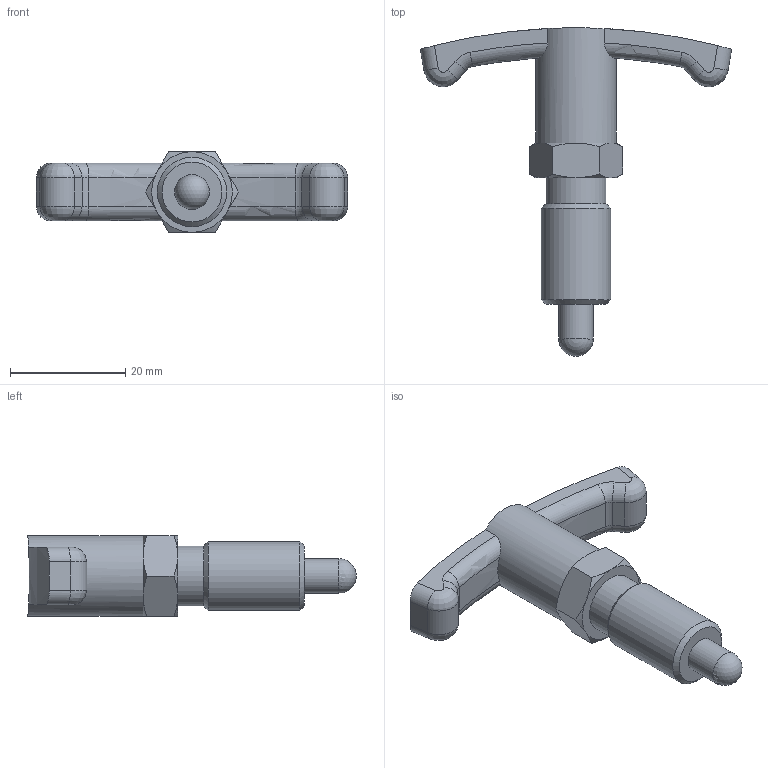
import cadquery as cq
import math


total_length = 57.0
sleeve_length = 20.0
hex_length = 6.0
neck_length = 4.5
barrel_length = 17.5

handle_span = 54.0
handle_width = 10.0
arm_thickness = 5.0
crown_radius = 100.0
edge_radius = 2.5
sleeve_diameter = 14.0
end_tilt = 9.5
end_length = 3.7
tip_radius = 3.4
flank_angle = 50.0
inner_corner_radius = 2.0

hex_sides = 6
hex_across_flats = 14.0
hex_bevel_angle = 30.0
barrel_diameter = 12.0
barrel_chamfer = 0.8
neck_diameter = barrel_diameter - 2 * barrel_chamfer
pin_diameter = 6.0

hex_back = -sleeve_length
hex_front = hex_back - hex_length
barrel_back = hex_front - neck_length
barrel_front = barrel_back - barrel_length
pin_end = -total_length


def rod(diameter, y_back, y_front):
    """Cylinder on the Y axis from y_back toward -Y, ending at y_front."""
    return (
        cq.Workplane("XZ", origin=(0, y_back, 0))
        .circle(diameter / 2)
        .extrude(y_back - y_front)
    )


def grip_profile():
    """Outline in XY of the bowed grip with a lobe at each end, and its right inner corner."""
    half_span = handle_span / 2
    tilt = math.radians(end_tilt)
    flank = math.radians(flank_angle)
    belly_radius = crown_radius - arm_thickness

    corner = (half_span, math.sqrt(crown_radius**2 - half_span**2) - crown_radius)
    end_stop = (
        corner[0] - end_length * math.sin(tilt),
        corner[1] - end_length * math.cos(tilt),
    )
    lobe_x = end_stop[0] - tip_radius * math.cos(tilt)
    lobe_y = end_stop[1] + tip_radius * math.sin(tilt)
    lobe_bottom = (lobe_x, lobe_y - tip_radius)
    flank_start = (
        lobe_x - tip_radius * math.sin(flank),
        lobe_y - tip_radius * math.cos(flank),
    )

    run_x = -math.cos(flank)
    run_y = math.sin(flank)
    height = flank_start[1] + crown_radius
    along = flank_start[0] * run_x + height * run_y
    excess = flank_start[0] ** 2 + height**2 - belly_radius**2
    flank_length = -along + math.sqrt(along**2 - excess)
    flank_stop = (
        flank_start[0] + flank_length * run_x,
        flank_start[1] + flank_length * run_y,
    )

    def mirrored(point):
        return (-point[0], point[1])

    outline = (
        cq.Workplane("XY", origin=(0, 0, -handle_width / 2))
        .moveTo(*mirrored(corner))
        .threePointArc((0, 0), corner)
        .lineTo(*end_stop)
        .threePointArc(lobe_bottom, flank_start)
        .lineTo(*flank_stop)
        .threePointArc((0, -arm_thickness), mirrored(flank_stop))
        .lineTo(*mirrored(flank_start))
        .threePointArc(mirrored(lobe_bottom), mirrored(end_stop))
        .close()
    )
    return outline, flank_stop


def make_handle():
    """T-handle: rounded grip fused to the sleeve, the sleeve end following the crown."""
    outline, inner_corner = grip_profile()
    grip = outline.extrude(handle_width)
    for side in (-1, 1):
        nearest = cq.selectors.NearestToPointSelector((side * inner_corner[0], inner_corner[1], 0))
        grip = grip.edges("|Z").edges(nearest).fillet(inner_corner_radius)

    grip = grip.faces("<Z or >Z").edges("not >Y").fillet(edge_radius)

    crown = (
        cq.Workplane("XY", origin=(0, -crown_radius, 0))
        .circle(crown_radius)
        .extrude(sleeve_diameter / 2, both=True)
    )
    sleeve = rod(sleeve_diameter, 0, hex_back).intersect(crown)
    return sleeve.union(grip)


def make_hex():
    """Hexagon with flats facing +Z and -Z, corners bevelled at both ends."""
    corner_diameter = hex_across_flats / math.cos(math.pi / hex_sides)
    bevel_width = (corner_diameter - hex_across_flats) / 2
    bevel_depth = bevel_width * math.tan(math.radians(hex_bevel_angle))
    prism = (
        cq.Workplane("XZ", origin=(0, hex_back, 0))
        .polygon(hex_sides, corner_diameter)
        .extrude(hex_length)
    )
    envelope = (
        rod(corner_diameter, hex_back, hex_front)
        .faces(">Y or <Y")
        .chamfer(bevel_depth, bevel_width)
    )
    return prism.intersect(envelope)


def make_plunger():
    """Hexagon, neck, bevelled barrel and round-nosed pin in one piece."""
    neck = rod(neck_diameter, hex_front, barrel_back)
    barrel = rod(barrel_diameter, barrel_back, barrel_front).faces(">Y or <Y").chamfer(barrel_chamfer)
    pin_radius = pin_diameter / 2
    pin_shank = rod(pin_diameter, barrel_front, pin_end + pin_radius)
    pin_nose = cq.Workplane("XY", origin=(0, pin_end + pin_radius, 0)).sphere(pin_radius)
    return make_hex().union(neck).union(barrel).union(pin_shank).union(pin_nose)


handle = make_handle()
plunger = make_plunger()
result = cq.Compound.makeCompound([handle.val(), plunger.val()])